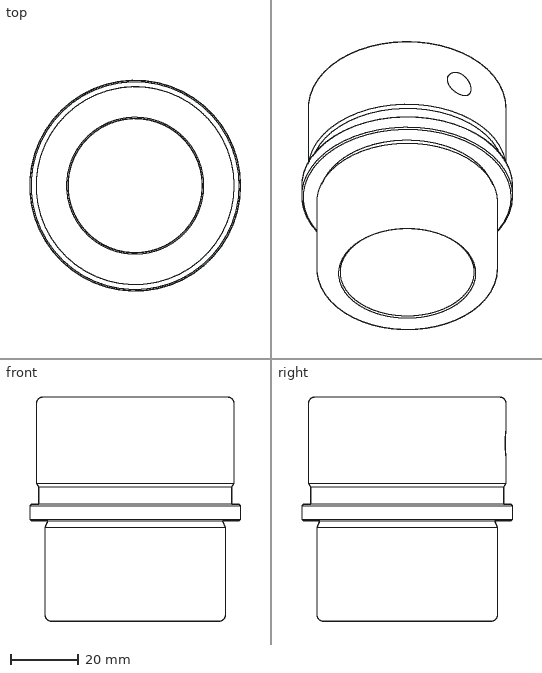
import cadquery as cq

total_height = 67.0
neck_top = 28.0
flange_bottom = 30.0
flange_top = 35.0
groove_top = 40.1
head_bottom = 41.2

flange_diameter = 63.0
head_diameter = 59.1
groove_diameter = 57.75
lower_diameter = 54.0
relief_diameter = 52.25
bore_diameter = 40.0

outer_fillet = 2.0
flange_chamfer = 0.5
bore_chamfer = 0.5

hole_diameter = 8.3
hole_height = 53.1


def make_body():
    """Revolve the solid outline around Z, then round its two end edges."""
    flange_radius = flange_diameter / 2
    head_radius = head_diameter / 2
    groove_radius = groove_diameter / 2
    lower_radius = lower_diameter / 2
    relief_radius = relief_diameter / 2
    outline = [
        (0, 0),
        (lower_radius, 0),
        (lower_radius, neck_top),
        (relief_radius, flange_bottom),
        (flange_radius - flange_chamfer, flange_bottom),
        (flange_radius, flange_bottom + flange_chamfer),
        (flange_radius, flange_top - flange_chamfer),
        (flange_radius - flange_chamfer, flange_top),
        (groove_radius, flange_top),
        (groove_radius, groove_top),
        (head_radius, head_bottom),
        (head_radius, total_height),
        (0, total_height),
    ]
    body = cq.Workplane("XZ").polyline(outline).close().revolve(360, (0, 0, 0), (0, 1, 0))
    return body.faces("<Z or >Z").edges().fillet(outer_fillet)


def cut_bore(body):
    """Cut the through bore and chamfer both of its rims."""
    bore = cq.Workplane("XY").circle(bore_diameter / 2).extrude(total_height)
    bored = body.cut(bore)
    return bored.faces("<Z or >Z").edges(cq.selectors.RadiusNthSelector(0)).chamfer(bore_chamfer)


def cut_radial_hole(body):
    """Drill from the axis out through the +Y wall."""
    drill = (
        cq.Workplane("XZ", origin=(0, 0, hole_height))
        .circle(hole_diameter / 2)
        .extrude(-head_diameter)
    )
    return body.cut(drill)


result = cut_radial_hole(cut_bore(make_body()))